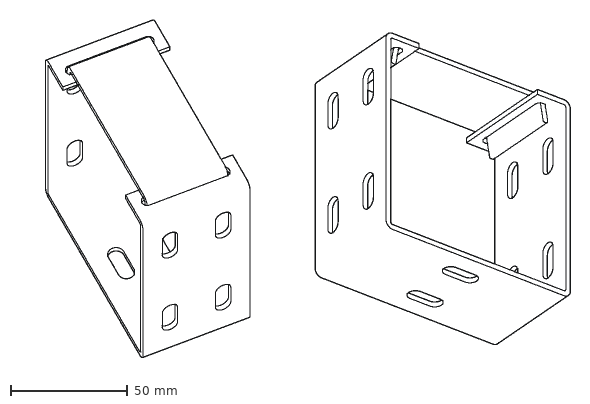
import cadquery as cq
import math

sheet = 2.5
outer_bend = 3.5
inner_bend = outer_bend - sheet

total_height = 100.8
frame_width = 99.2
frame_depth = 50.8
frame_height = total_height - sheet
lip_length = 17.7

slot_width = 7.3
slot_length = 17.5
slot_spacing_y = 25.2
side_slot_spacing_z = 52.2
lower_slot_z = 24.2

lip_slot_width = 5.0
lip_slot_length = 41.5
lip_slot_x = frame_width / 2 - 11.1

strap_depth = 38.3
strap_flat_half = 37.0
leg_tip_z = 87.7
leg_splay = math.radians(10)
leg_tip_fillet = 0.8


def make_frame_shell():
    """Bent sheet section without any slots."""
    cavity_width = frame_width - 2 * sheet
    cavity_height = frame_height - 2 * sheet
    outside = (
        cq.Workplane("XY")
        .box(frame_width, frame_depth, frame_height, centered=(True, True, False))
        .edges("|Y")
        .fillet(outer_bend)
    )
    cavity = (
        cq.Workplane("XY", origin=(0, 0, sheet))
        .box(cavity_width, frame_depth, cavity_height, centered=(True, True, False))
        .edges("|Y")
        .fillet(inner_bend)
    )
    lip_gap = cq.Workplane("XY", origin=(0, 0, frame_height - sheet)).box(
        frame_width - 2 * lip_length, frame_depth, sheet, centered=(True, True, False)
    )
    return outside.cut(cavity).cut(lip_gap)


def make_side_slot_cutter():
    """Upright slots passing through both side walls."""
    middle_z = lower_slot_z + side_slot_spacing_z / 2
    return (
        cq.Workplane("YZ", origin=(0, 0, middle_z))
        .rarray(slot_spacing_y, side_slot_spacing_z, 2, 2)
        .slot2D(slot_length, slot_width, 90)
        .extrude(frame_width, both=True)
    )


def make_floor_slot_cutter():
    """Pair of slots through the middle of the floor, running along X."""
    return (
        cq.Workplane("XY")
        .pushPoints([(0, -slot_spacing_y / 2), (0, slot_spacing_y / 2)])
        .slot2D(slot_length, slot_width)
        .extrude(sheet)
    )


def make_lip_slot_cutter():
    """One slot through each lip, running along Y."""
    return (
        cq.Workplane("XY", origin=(0, 0, frame_height - sheet))
        .pushPoints([(-lip_slot_x, 0), (lip_slot_x, 0)])
        .slot2D(lip_slot_length, lip_slot_width, 90)
        .extrude(sheet)
    )


def make_frame():
    return (
        make_frame_shell()
        .cut(make_side_slot_cutter())
        .cut(make_floor_slot_cutter())
        .cut(make_lip_slot_cutter())
    )


def make_strap():
    """Right half of the bent profile, extruded and mirrored about X = 0."""
    bend_angle = math.pi / 2 - leg_splay
    bend_z = total_height - outer_bend

    def bend_point(radius, angle):
        """Point on the bend, with the angle measured from the upward direction."""
        return (strap_flat_half + radius * math.sin(angle), bend_z + radius * math.cos(angle))

    inner_end = bend_point(inner_bend, bend_angle)
    leg_length = (inner_end[1] - leg_tip_z) / math.cos(leg_splay)

    def leg_tip(start):
        return (start[0] + leg_length * math.sin(leg_splay), start[1] - leg_length * math.cos(leg_splay))

    outer_end = bend_point(outer_bend, bend_angle)
    half = (
        cq.Workplane("XZ")
        .moveTo(0, total_height)
        .lineTo(strap_flat_half, total_height)
        .threePointArc(bend_point(outer_bend, bend_angle / 2), outer_end)
        .lineTo(*leg_tip(outer_end))
        .lineTo(*leg_tip(inner_end))
        .lineTo(*inner_end)
        .threePointArc(bend_point(inner_bend, bend_angle / 2), (strap_flat_half, frame_height))
        .lineTo(0, frame_height)
        .close()
        .extrude(strap_depth / 2, both=True)
    )
    half = half.faces("<Z").edges("|Y").fillet(leg_tip_fillet)
    return half.union(half.mirror("YZ")).clean()


frame = make_frame()
strap = make_strap()
result = cq.Compound.makeCompound([frame.val(), strap.val()])